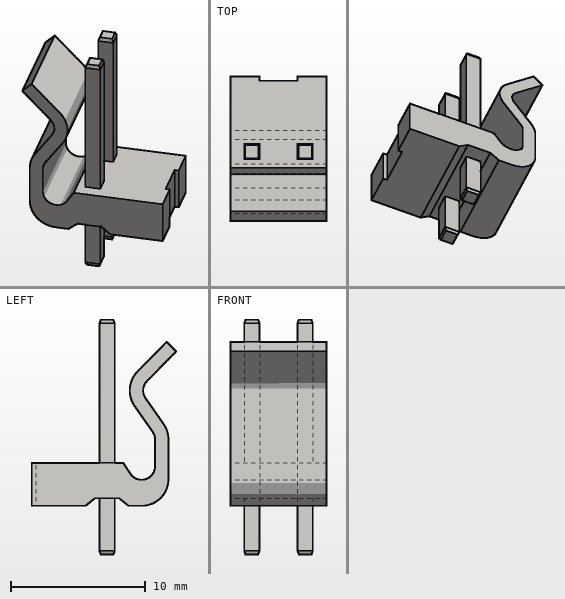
import cadquery as cq
import math


body_width = 7.15
base_height = 3.21
back_y = 5.6
ledge_y = -1.2

key_width = 2.8
key_depth = 0.31

relief_height = 0.55
relief_top_half = 0.9
relief_bottom_half = 1.6

strip_thickness = 1.01
inner_radius = 1.0
groove_center_z = 2.95
outer_radius = inner_radius + strip_thickness
wall_y = -4.57
tip_y = -5.15
wall_top_z = 4.94
crest_y = -1.68
lean_angle = 35.0
arm_angle = 44.5

pin_size = 1.15
pin_pitch = 3.96
pin_bottom_z = -3.61
pin_length = 17.45
pin_tip_height = 0.28
pin_tip_inset = 0.1


def polar(center, radius, angle):
    """Point in the YZ plane at an angle in degrees from +Y toward +Z."""
    a = math.radians(angle)
    return (center[0] + radius * math.cos(a), center[1] + radius * math.sin(a))


def make_body():
    lean = math.radians(lean_angle)
    arm = math.radians(arm_angle)

    bend_y = wall_y + outer_radius
    corner_center = (bend_y, outer_radius)
    groove_center = (bend_y, groove_center_z)
    lower_bend = (bend_y, wall_top_z)

    upper_y = crest_y - outer_radius
    tangent_gap = outer_radius + inner_radius
    rise = (tangent_gap + (upper_y - bend_y) * math.cos(lean)) / math.sin(lean)
    upper_bend = (upper_y, wall_top_z + rise)

    arm_inner_start = polar(upper_bend, inner_radius, arm_angle)
    arm_outer_start = polar(upper_bend, outer_radius, arm_angle)
    arm_length = (arm_inner_start[0] - tip_y) / math.sin(arm)
    arm_direction = 90 + arm_angle
    tip_inner = polar(arm_inner_start, arm_length, arm_direction)
    tip_outer = polar(arm_outer_start, arm_length, arm_direction)

    reach_y = ledge_y - groove_center[0]
    reach_z = base_height - groove_center[1]
    reach = math.hypot(reach_y, reach_z)
    reach_angle = math.degrees(math.atan2(reach_z, reach_y))
    slope_end = reach_angle - math.degrees(math.acos(inner_radius / reach))
    groove_middle = (slope_end - 180) / 2

    leg_normal = 180 - lean_angle
    lower_middle = 180 - lean_angle / 2
    upper_middle = (arm_angle - lean_angle) / 2

    profile = (
        cq.Workplane("YZ")
        .moveTo(back_y, 0)
        .lineTo(relief_bottom_half, 0)
        .lineTo(relief_top_half, relief_height)
        .lineTo(-relief_top_half, relief_height)
        .lineTo(-relief_bottom_half, 0)
        .lineTo(bend_y, 0)
        .threePointArc(polar(corner_center, outer_radius, 225), (wall_y, outer_radius))
        .lineTo(wall_y, wall_top_z)
        .threePointArc(
            polar(lower_bend, outer_radius, lower_middle),
            polar(lower_bend, outer_radius, leg_normal),
        )
        .lineTo(*polar(upper_bend, inner_radius, -lean_angle))
        .threePointArc(polar(upper_bend, inner_radius, upper_middle), arm_inner_start)
        .lineTo(*tip_inner)
        .lineTo(*tip_outer)
        .lineTo(*arm_outer_start)
        .threePointArc(
            polar(upper_bend, outer_radius, upper_middle),
            polar(upper_bend, outer_radius, -lean_angle),
        )
        .lineTo(*polar(lower_bend, inner_radius, leg_normal))
        .threePointArc(
            polar(lower_bend, inner_radius, lower_middle),
            polar(lower_bend, inner_radius, 180),
        )
        .lineTo(*polar(groove_center, inner_radius, 180))
        .threePointArc(
            polar(groove_center, inner_radius, groove_middle),
            polar(groove_center, inner_radius, slope_end),
        )
        .lineTo(ledge_y, base_height)
        .lineTo(back_y, base_height)
        .close()
    )
    return profile.extrude(body_width / 2, both=True)


def make_key_notch():
    return (
        cq.Workplane("XY")
        .center(0, back_y)
        .rect(key_width, 2 * key_depth)
        .extrude(base_height)
    )


def make_pin(x):
    shaft_length = pin_length - 2 * pin_tip_height
    shaft = (
        cq.Workplane("XY", origin=(x, 0, pin_bottom_z + pin_tip_height))
        .rect(pin_size, pin_size)
        .extrude(shaft_length)
    )
    taper = math.degrees(math.atan2(pin_tip_inset, pin_tip_height))
    pin = shaft
    for end_face in (">Z", "<Z"):
        tip = (
            shaft.faces(end_face).workplane()
            .rect(pin_size, pin_size)
            .extrude(pin_tip_height, taper=taper, combine=False)
        )
        pin = pin.union(tip)
    return pin


result = make_body().cut(make_key_notch())
for pin_x in (-pin_pitch / 2, pin_pitch / 2):
    result = result.union(make_pin(pin_x))